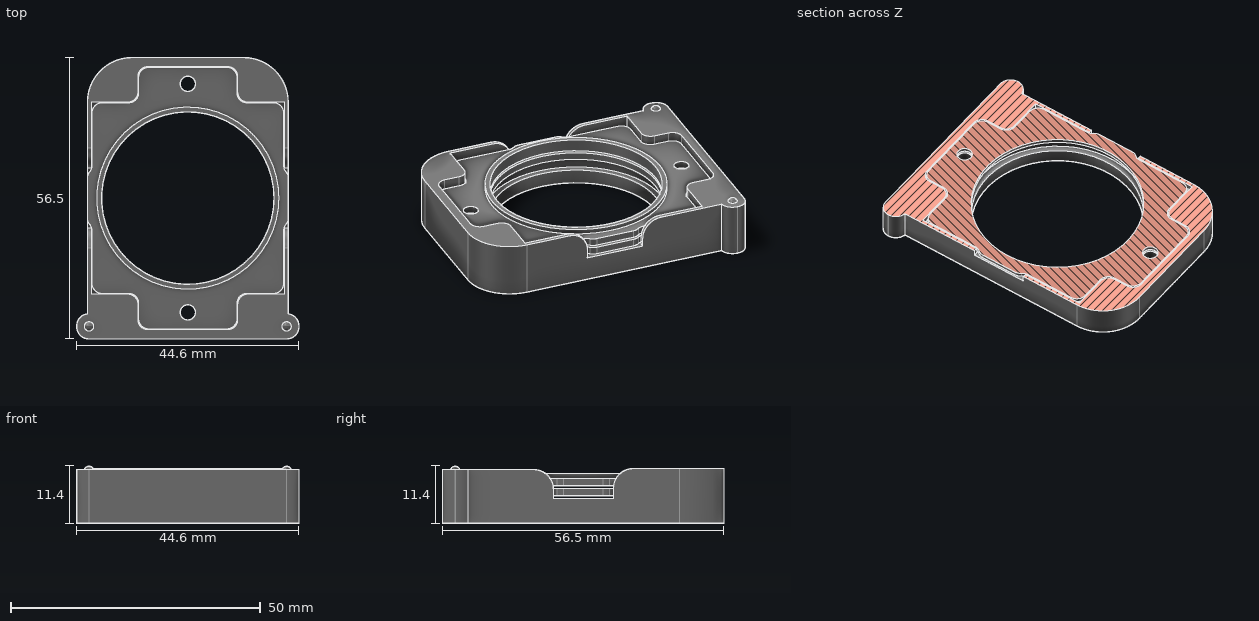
import cadquery as cq
import math

body_half_width = 20.15
back_y = 28.2
front_y = -28.25
back_corner_radius = 9.0
back_height = 11.0
front_height = 10.8

knuckle_radius = 2.5
knuckle_x = 19.8
knuckle_length = 5.1
knuckle_y = front_y + knuckle_length / 2
dome_radius = 1.0
overall_height = 11.45
dome_center_z = overall_height - dome_radius

side_wall = 0.8
pocket_half_width = body_half_width - side_wall
pocket_half_length = 19.25
arm_half_width = 10.0
arm_half_length = 26.35
corner_radius = 2.0
pocket_floor_z = 5.0

opening_diameter = 34.5
recess_diameter = 37.0
recess_floor_z = 3.0

window_half_length = 6.0
window_top_radius = 4.0

screw_hole_diameter = 3.0
screw_hole_y = 22.9

plate_clearance = 0.15
plate_thickness = 1.5
lower_plate_z = 5.5
plate_gap = 0.5
upper_plate_z = lower_plate_z + plate_thickness + plate_gap
tab_half_length = 5.25
rim_diameter = 36.5
rim_height = 1.0

margin = 1.0


def cross_outline(half_width, half_length, arm_width, arm_length, height):
    """Rectangle with a narrower arm at each Y end; the arm corners are rounded inside and out."""
    body = cq.Workplane("XY").rect(2 * half_width, 2 * half_length).extrude(height)
    arms = cq.Workplane("XY").rect(2 * arm_width, 2 * arm_length).extrude(height)
    arm_edges = cq.selectors.BoxSelector(
        (-arm_width - margin, -arm_length - margin, -margin),
        (arm_width + margin, arm_length + margin, height + margin),
    )
    return body.union(arms).edges("|Z").edges(arm_edges).fillet(corner_radius)


def screw_holes(height):
    """Cutter for the two screw holes on the lengthwise centre line."""
    return (
        cq.Workplane("XY")
        .pushPoints([(0, screw_hole_y), (0, -screw_hole_y)])
        .circle(screw_hole_diameter / 2)
        .extrude(height)
    )


def round_cutter(diameter, bottom_z):
    """Upright cylinder on the opening axis, long enough to cut out through the top."""
    return cq.Workplane("XY", origin=(0, 0, bottom_z)).circle(diameter / 2).extrude(overall_height)


def side_windows():
    """Cutter across both side walls; its upper corners flare out to the wall tops."""
    left = -window_half_length
    right = window_half_length
    r = window_top_radius
    return (
        cq.Workplane("YZ")
        .moveTo(left, pocket_floor_z)
        .lineTo(right, pocket_floor_z)
        .lineTo(right, back_height - r)
        .radiusArc((right + r, back_height), r)
        .lineTo(right + r, overall_height)
        .lineTo(left - r, overall_height)
        .lineTo(left - r, front_height)
        .radiusArc((left, front_height - r), r)
        .close()
        .extrude(body_half_width + margin, both=True)
    )


def housing_block():
    """Solid block with rounded back corners and a knuckle bulging out at each front corner."""
    body = (
        cq.Workplane("XY", origin=(0, (back_y + knuckle_y) / 2, 0))
        .rect(2 * body_half_width, back_y - knuckle_y)
        .extrude(back_height)
        .edges("|Z and >Y")
        .fillet(back_corner_radius)
    )
    knuckle_bar = (
        cq.Workplane("XY", origin=(0, knuckle_y, 0))
        .rect(2 * (knuckle_x + knuckle_radius), knuckle_length)
        .extrude(front_height)
        .edges("|Z")
        .fillet(knuckle_radius)
    )
    front_step = (
        cq.Workplane("XY", origin=(0, front_y / 2, front_height))
        .rect(2 * body_half_width, -front_y)
        .extrude(back_height - front_height)
    )
    return body.cut(front_step).union(knuckle_bar)


def make_housing():
    """Block with domed knuckles, the plate pocket, side windows and stepped opening."""
    housing = housing_block()
    for x in (-knuckle_x, knuckle_x):
        dome = cq.Workplane("XY", origin=(x, knuckle_y, dome_center_z)).sphere(dome_radius)
        housing = housing.union(dome)

    pocket = cross_outline(
        pocket_half_width, pocket_half_length, arm_half_width, arm_half_length, overall_height
    ).translate((0, 0, pocket_floor_z))
    return (
        housing.cut(pocket)
        .cut(side_windows())
        .cut(round_cutter(recess_diameter, recess_floor_z))
        .cut(round_cutter(opening_diameter, 0))
        .cut(screw_holes(overall_height))
    )


def make_plate():
    """Flat cross with a rounded tab that fills the middle of each side window."""
    half_width = pocket_half_width - plate_clearance
    half_length = pocket_half_length - plate_clearance
    arm_width = arm_half_width - plate_clearance
    arm_length = arm_half_length - plate_clearance
    plate = cross_outline(half_width, half_length, arm_width, arm_length, plate_thickness)
    plate = plate.edges("|Z and (<X or >X)").fillet(corner_radius)

    tab_height = body_half_width - half_width
    mid_x = half_width + tab_height / 2
    arc_drop = tab_height / 2
    arc_span = math.sqrt(corner_radius**2 - (corner_radius - arc_drop) ** 2)
    tip_y = tab_half_length - arc_span
    root_y = tab_half_length + arc_span
    tab = (
        cq.Workplane("XY")
        .moveTo(0, -root_y)
        .lineTo(half_width, -root_y)
        .radiusArc((mid_x, -tab_half_length), corner_radius)
        .radiusArc((body_half_width, -tip_y), -corner_radius)
        .lineTo(body_half_width, tip_y)
        .radiusArc((mid_x, tab_half_length), -corner_radius)
        .radiusArc((half_width, root_y), corner_radius)
        .lineTo(0, root_y)
        .close()
        .extrude(plate_thickness)
    )
    return (
        plate.union(tab)
        .union(tab.mirror("YZ"))
        .cut(round_cutter(opening_diameter, 0))
        .cut(screw_holes(plate_thickness))
    )


def make_rimmed_plate():
    """Plate with a raised rim around its opening."""
    rim = (
        cq.Workplane("XY", origin=(0, 0, plate_thickness))
        .circle(rim_diameter / 2)
        .circle(opening_diameter / 2)
        .extrude(rim_height)
    )
    return make_plate().union(rim)


housing = make_housing()
lower_plate = make_plate().translate((0, 0, lower_plate_z))
upper_plate = make_rimmed_plate().translate((0, 0, upper_plate_z))

result = cq.Compound.makeCompound([housing.val(), lower_plate.val(), upper_plate.val()])